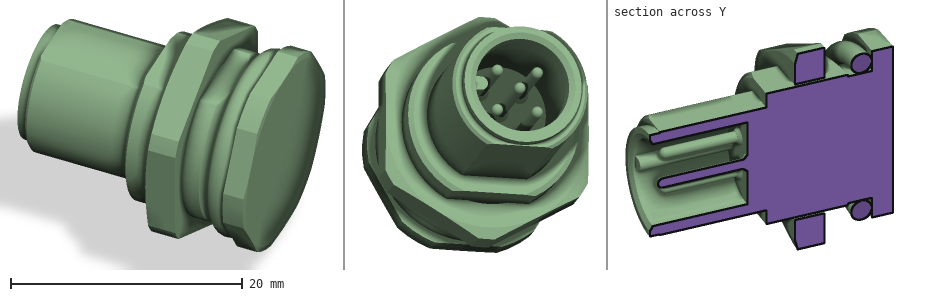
import cadquery as cq
import math


length = 23.0
barrel_start = 0.97
shoulder_start = 11.0
nut_start = 13.7
nut_end = 16.54
thread_end = 18.15
flange_start = 21.0

nose_diameter = 10.4
barrel_diameter = 12.0
barrel_flats = 10.53
barrel_chamfer = 0.25

thread_diameter = 15.23
thread_flats = 13.35
thread_lead_length = 0.25
thread_lead_depth = 0.44
thread_runout_angle = 60.0
neck_diameter = 13.0

nut_flats = 18.0
nut_diameter = 19.99
nut_bore_diameter = 13.8
nut_chamfer_angle = 15.0
flange_flats = 17.0
flange_diameter = 18.0
flange_chamfer_angle = 10.0

socket_diameter = 8.3
socket_depth = 9.2
mouth_diameter = 9.3
mouth_depth = 0.28
key_width = 1.2
key_reach = 3.01
key_start = 0.45

pin_diameter = 1.0
centre_pin_tip = 0.75
outer_pin_tip = 1.75
pin_offset = 1.77
collar_base_diameter = 1.65
collar_top_diameter = 1.05
collar_length = 0.32

ring_thickness = 1.98


def cylinder(diameter, start, end):
    return cq.Workplane("YZ", origin=(start, 0, 0)).circle(diameter / 2).extrude(end - start)


def revolved(profile):
    """Turn a closed (x, radius) profile around the X axis."""
    return cq.Workplane("XY").polyline(profile).close().revolve(360, (0, 0, 0), (1, 0, 0))


def two_flats(body, flats):
    """Trim a turned body to parallel flats facing up and down."""
    return body.intersect(cq.Workplane("XY").box(2 * length, length, flats))


def hexagon(flats, start, end, turn):
    """Hexagonal bar along X, with flats up and down when turn is 0."""
    corner_diameter = flats / math.cos(math.pi / 6)
    return (
        cq.Workplane("YZ", origin=(start, 0, 0))
        .transformed(rotate=(0, 0, turn))
        .polygon(6, corner_diameter)
        .extrude(end - start)
    )


def make_barrel():
    radius = barrel_diameter / 2
    barrel = revolved([
        (barrel_start, 0),
        (barrel_start, radius - barrel_chamfer),
        (barrel_start + barrel_chamfer, radius),
        (shoulder_start, radius),
        (shoulder_start, 0),
    ])
    nose = cylinder(nose_diameter, 0, shoulder_start)
    return two_flats(barrel, barrel_flats).union(nose)


def make_thread():
    radius = thread_diameter / 2
    neck_radius = neck_diameter / 2
    runout = (radius - neck_radius) / math.tan(math.radians(thread_runout_angle))
    thread = revolved([
        (shoulder_start, 0),
        (shoulder_start, radius - thread_lead_depth),
        (shoulder_start + thread_lead_length, radius),
        (thread_end, radius),
        (thread_end + runout, neck_radius),
        (thread_end + runout, 0),
    ])
    neck = cylinder(neck_diameter, thread_end, flange_start)
    return two_flats(thread, thread_flats).union(neck)


def make_nut():
    """Nut whose bore clears the flats of the thread and is filled by its round sides."""
    face_radius = nut_flats / 2
    rim_radius = nut_diameter / 2
    chamfer = (rim_radius - face_radius) * math.tan(math.radians(nut_chamfer_angle))
    rounding = revolved([
        (nut_start, 0),
        (nut_start, face_radius),
        (nut_start + chamfer, rim_radius),
        (nut_end, rim_radius),
        (nut_end, 0),
    ])
    bore = cylinder(nut_bore_diameter, nut_start, nut_end)
    return hexagon(nut_flats, nut_start, nut_end, 90).intersect(rounding).cut(bore)


def make_flange():
    face_radius = flange_flats / 2
    rim_radius = flange_diameter / 2
    chamfer = (rim_radius - face_radius) * math.tan(math.radians(flange_chamfer_angle))
    rounding = revolved([
        (flange_start, 0),
        (flange_start, rim_radius),
        (length - chamfer, rim_radius),
        (length, face_radius),
        (length, 0),
    ])
    return hexagon(flange_flats, flange_start, length, 0).intersect(rounding)


def make_socket():
    """Bore with a tapered mouth, leaving the coding key standing on its +Y wall."""
    bore_radius = socket_diameter / 2
    bore = revolved([
        (0, 0),
        (0, mouth_diameter / 2),
        (mouth_depth, bore_radius),
        (socket_depth, bore_radius),
        (socket_depth, 0),
    ])
    round_centre = key_reach + key_width / 2
    wall_radius = nose_diameter / 2
    key_length = socket_depth - key_start
    key_face = cq.Workplane("YZ", origin=(key_start, 0, 0))
    key_tip = key_face.center(round_centre, 0).circle(key_width / 2).extrude(key_length)
    key_root = (
        key_face.center((round_centre + wall_radius) / 2, 0)
        .rect(wall_radius - round_centre, key_width)
        .extrude(key_length)
    )
    return bore.cut(key_tip).cut(key_root)


def make_pin(y, z, tip):
    """Round-ended pin with a conical collar where it leaves the socket floor."""
    radius = pin_diameter / 2
    profile = (
        cq.Workplane("XY")
        .moveTo(tip, 0)
        .radiusArc((tip + radius, radius), radius)
        .lineTo(socket_depth - collar_length, radius)
        .lineTo(socket_depth - collar_length, collar_top_diameter / 2)
        .lineTo(socket_depth, collar_base_diameter / 2)
        .lineTo(socket_depth, 0)
        .close()
    )
    return profile.revolve(360, (0, 0, 0), (1, 0, 0)).translate((0, y, z))


def make_connector():
    connector = make_barrel().union(make_thread()).union(make_nut()).union(make_flange())
    connector = connector.cut(make_socket())
    connector = connector.union(make_pin(0, 0, centre_pin_tip))
    for y in (-pin_offset, pin_offset):
        for z in (-pin_offset, pin_offset):
            connector = connector.union(make_pin(y, z, outer_pin_tip))
    return connector


def make_sealing_ring():
    section_radius = ring_thickness / 2
    ring_radius = neck_diameter / 2 + section_radius
    ring_centre = flange_start - section_radius
    return cq.Solid.makeTorus(
        ring_radius, section_radius, cq.Vector(ring_centre, 0, 0), cq.Vector(1, 0, 0)
    )


connector = make_connector()
sealing_ring = make_sealing_ring()
result = cq.Compound.makeCompound([connector.val(), sealing_ring])